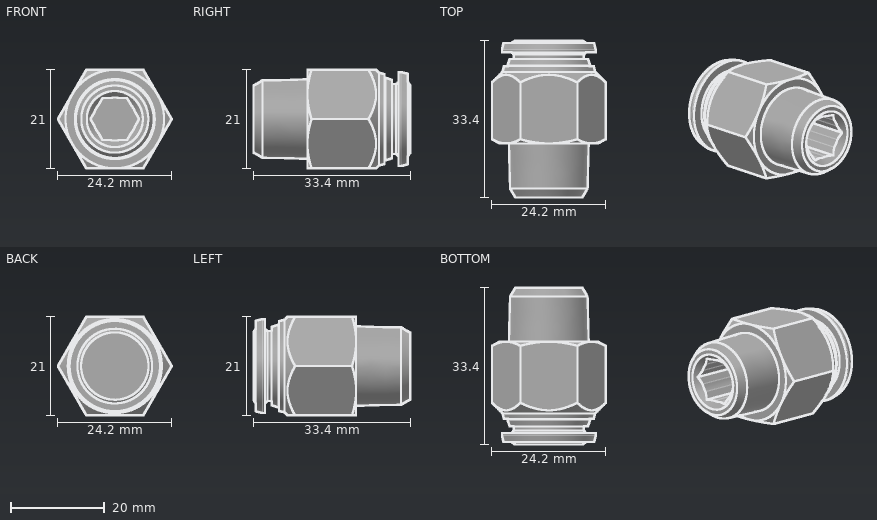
import cadquery as cq
import math

LENGTH = 33.4

STEM_END_RADIUS = 7.15
STEM_TIP_RADIUS = 8.28
STEM_ROOT_RADIUS = 8.52
STEM_CHAMFER_LENGTH = 1.95
STEM_LENGTH = 11.52

HEX_FLATS = 21.0
HEX_FRONT_CHAMFER_ANGLE = 28.0

COLLAR_START = 26.75
COLLAR_END = 27.95
COLLAR_BASE_RADIUS = 9.9
COLLAR_END_RADIUS = 9.6
RING_START = 28.1
RING_END = 29.53
RING_GROOVE_RADIUS = 8.65
RING_BASE_RADIUS = 8.85
RING_END_RADIUS = 8.35

NECK_RADIUS = 7.48
NECK_END = 30.4
FLARE_RADIUS = 7.88
FLANGE_START = 30.9
FLANGE_RIM_END = 31.45
FLANGE_TAPER_END = 32.73
FLANGE_END = 32.9
FLANGE_RADIUS = 10.02
FLANGE_TAPER_RADIUS = 9.72
FLANGE_FACE_RADIUS = 9.62
CAP_BASE_RADIUS = 7.95
CAP_TOP_RADIUS = 7.18

SOCKET_MOUTH_RADIUS = 5.98
SOCKET_FLATS = 9.0
SOCKET_RELIEF_RADIUS = 4.58
SOCKET_DEPTH = STEM_LENGTH


def revolve_profile(points):
    """Revolve a closed (radius, y) outline around the Y axis."""
    return cq.Workplane("XY").polyline(points).close().revolve(360, (0, 0, 0), (0, 1, 0))


def corner_diameter(flats):
    """Diameter across the corners of a hexagon."""
    return flats / math.cos(math.pi / 6)


def hex_prism(flats, start, end):
    """Hexagonal prism along Y with two corners on the X axis."""
    plane = cq.Plane(origin=(0, start, 0), xDir=(1, 0, 0), normal=(0, 1, 0))
    return cq.Workplane(plane).polygon(6, corner_diameter(flats)).extrude(end - start)


def make_stem():
    return revolve_profile([
        (0, 0),
        (STEM_END_RADIUS, 0),
        (STEM_TIP_RADIUS, STEM_CHAMFER_LENGTH),
        (STEM_ROOT_RADIUS, STEM_LENGTH),
        (0, STEM_LENGTH),
    ])


def make_body():
    inscribed = HEX_FLATS / 2
    circumscribed = corner_diameter(HEX_FLATS) / 2
    corner_drop = circumscribed - inscribed
    front_rise = corner_drop * math.tan(math.radians(HEX_FRONT_CHAMFER_ANGLE))
    back_chamfer_start = COLLAR_START - (circumscribed - COLLAR_BASE_RADIUS)
    envelope = revolve_profile([
        (0, STEM_LENGTH),
        (inscribed, STEM_LENGTH),
        (circumscribed, STEM_LENGTH + front_rise),
        (circumscribed, back_chamfer_start),
        (COLLAR_BASE_RADIUS, COLLAR_START),
        (0, COLLAR_START),
    ])
    return hex_prism(HEX_FLATS, STEM_LENGTH, COLLAR_START).intersect(envelope)


def make_collar_and_button():
    return revolve_profile([
        (0, COLLAR_START),
        (COLLAR_BASE_RADIUS, COLLAR_START),
        (COLLAR_END_RADIUS, COLLAR_END),
        (RING_GROOVE_RADIUS, COLLAR_END),
        (RING_GROOVE_RADIUS, RING_START),
        (RING_BASE_RADIUS, RING_START),
        (RING_END_RADIUS, RING_END),
        (NECK_RADIUS, RING_END),
        (NECK_RADIUS, NECK_END),
        (FLARE_RADIUS, FLANGE_START),
        (FLANGE_RADIUS, FLANGE_START),
        (FLANGE_RADIUS, FLANGE_RIM_END),
        (FLANGE_TAPER_RADIUS, FLANGE_TAPER_END),
        (FLANGE_FACE_RADIUS, FLANGE_END),
        (CAP_BASE_RADIUS, FLANGE_END),
        (CAP_TOP_RADIUS, LENGTH),
        (0, LENGTH),
    ])


def make_socket():
    mouth_depth = SOCKET_MOUTH_RADIUS - SOCKET_RELIEF_RADIUS
    relief_and_mouth = revolve_profile([
        (0, 0),
        (SOCKET_MOUTH_RADIUS, 0),
        (SOCKET_RELIEF_RADIUS, mouth_depth),
        (SOCKET_RELIEF_RADIUS, SOCKET_DEPTH),
        (0, SOCKET_DEPTH),
    ])
    return hex_prism(SOCKET_FLATS, 0, SOCKET_DEPTH).union(relief_and_mouth)


result = make_stem().union(make_body()).union(make_collar_and_button()).cut(make_socket())